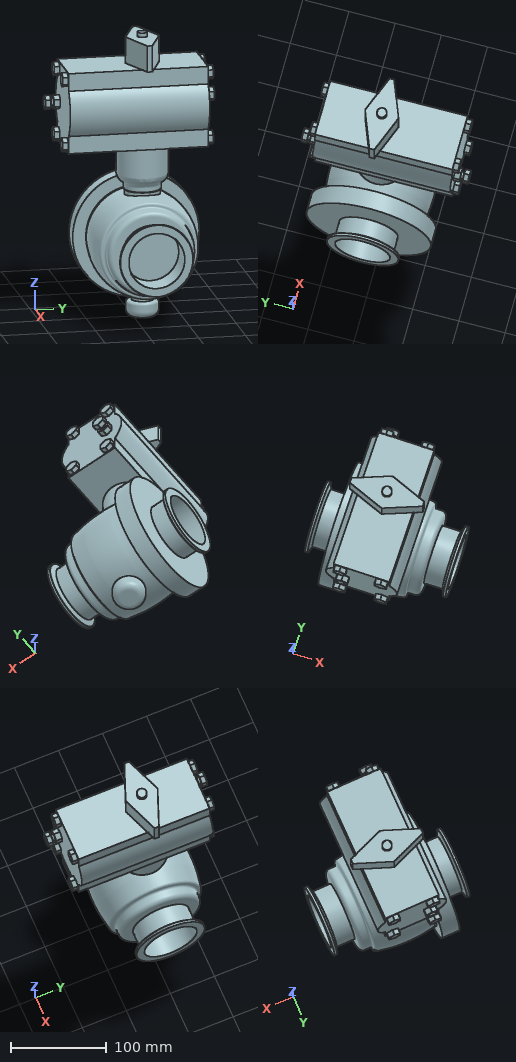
import cadquery as cq
import math


MATCH_TOLERANCE = 0.003

VALVE_LENGTH = 155.0
END_X = VALVE_LENGTH / 2
BORE_D = 59.5
BORE_DEPTH = 32.5
PIPE_D = 63.5
FERRULE_D = 77.5
FERRULE_RIM = 3.0
FERRULE_CONE = 2.8
FERRULE_CONE_D = 76.5
FLANGE_D = 135.0
FLANGE_X = -53.0
FLANGE_THICK = 20.0
COLLAR_D = 107.0
COLLAR_LENGTH = 2.5
BARREL_R = 56.5
BARREL_CROWN_R = 162.5
BARREL_END_X = 37.5
BARREL_FILLET = 2.8
HUB_D = 93.0
HUB_END_X = 51.3
HUB_FILLET = 5.5
HUB_ROOT_FILLET = 2.5

VALVE_NECK_D = 38.0
NECK_JOINT_Z = 58.3
DRAIN_STEM_D = 23.0
DRAIN_CAP_D = 35.0
DRAIN_CAP_TOP_Z = -61.5
DRAIN_CAP_BOTTOM_Z = -79.2
DRAIN_TOP_FILLET = 3.0
DRAIN_BOTTOM_FILLET = 7.7

MOUNT_D = 55.0
MOUNT_CONE_TOP_Z = 71.5
MOUNT_CONE_BOTTOM_Z = 65.7
MOUNT_FILLET = 9.0
MOUNT_ROOT_FILLET = 3.7
MOUNT_FOOT_D = 40.0
MOUNT_FOOT_CHAMFER = (MOUNT_FOOT_D - VALVE_NECK_D) / 2

HOUSING_WIDTH = 61.5
HOUSING_BOTTOM_Z = 108.0
HOUSING_TOP_Z = 195.0
HOUSING_MID_Z = (HOUSING_BOTTOM_Z + HOUSING_TOP_Z) / 2
HOUSING_LENGTH = 148.8
HOUSING_Y = -10.0
CYLINDER_D = 78.5

HEX_CORNERS = 15.0
BOLT_HEAD = 5.8
BOLT_PITCH_X = 45.0
BOLT_PITCH_Z = 70.5
STOP_X = -20.0
STOP_NUT = 6.8
STOP_SHANK_D = 8.0
STOP_GAP = 3.0
STOP_HEAD = 5.8

HANDLE_LENGTH = 80.5
HANDLE_WIDTH = 36.2
HANDLE_TIP = 5.2
HANDLE_HEIGHT = 28.2
PIN_D = 10.5
PIN_HEIGHT = 4.5


def fillet_circle(body, diameter, position, radius):
    """Fillet the circular edge with this diameter centred at this position."""
    centre = cq.Vector(*position)
    edges = [
        edge for edge in body.edges("%CIRCLE").vals()
        if abs(edge.radius() - diameter / 2) < MATCH_TOLERANCE
        and (edge.arcCenter() - centre).Length < MATCH_TOLERANCE
    ]
    return body.newObject([body.val().fillet(radius, edges)])


def disc(diameter, bottom_z, top_z):
    return cq.Workplane("XY").workplane(offset=bottom_z).circle(diameter / 2).extrude(top_z - bottom_z)


def barrel_radius(x):
    """Radius of the crowned barrel at x."""
    return BARREL_R - BARREL_CROWN_R + math.sqrt(BARREL_CROWN_R**2 - x**2)


def pipe_line():
    rim_x = END_X - FERRULE_RIM
    cone_x = rim_x - FERRULE_CONE
    flange_back_x = FLANGE_X + FLANGE_THICK
    collar_x = flange_back_x + COLLAR_LENGTH
    barrel_end_r = barrel_radius(BARREL_END_X)
    body = (
        cq.Workplane("XY")
        .moveTo(-END_X, 0)
        .lineTo(-END_X, FERRULE_D / 2)
        .lineTo(-rim_x, FERRULE_D / 2)
        .lineTo(-rim_x, FERRULE_CONE_D / 2)
        .lineTo(-cone_x, PIPE_D / 2)
        .lineTo(FLANGE_X, PIPE_D / 2)
        .lineTo(FLANGE_X, FLANGE_D / 2)
        .lineTo(flange_back_x, FLANGE_D / 2)
        .lineTo(flange_back_x, COLLAR_D / 2)
        .lineTo(collar_x, COLLAR_D / 2)
        .lineTo(collar_x, barrel_radius(collar_x))
        .threePointArc((0, BARREL_R), (BARREL_END_X, barrel_end_r))
        .lineTo(BARREL_END_X, HUB_D / 2)
        .lineTo(HUB_END_X, HUB_D / 2)
        .lineTo(HUB_END_X, PIPE_D / 2)
        .lineTo(cone_x, PIPE_D / 2)
        .lineTo(rim_x, FERRULE_CONE_D / 2)
        .lineTo(rim_x, FERRULE_D / 2)
        .lineTo(END_X, FERRULE_D / 2)
        .lineTo(END_X, 0)
        .close()
        .revolve(360, (0, 0, 0), (1, 0, 0))
    )
    body = fillet_circle(body, 2 * barrel_end_r, (BARREL_END_X, 0, 0), BARREL_FILLET)
    body = fillet_circle(body, HUB_D, (BARREL_END_X, 0, 0), HUB_ROOT_FILLET)
    return fillet_circle(body, HUB_D, (HUB_END_X, 0, 0), HUB_FILLET)


def bores():
    """Blind bores in both pipe ends."""
    left = cq.Workplane("YZ").workplane(offset=-END_X).circle(BORE_D / 2).extrude(BORE_DEPTH)
    return left.union(left.mirror("YZ"))


def drain_plug():
    cap = disc(DRAIN_CAP_D, DRAIN_CAP_BOTTOM_Z, DRAIN_CAP_TOP_Z)
    cap = cap.faces(">Z").edges().fillet(DRAIN_TOP_FILLET)
    cap = cap.faces("<Z").edges().fillet(DRAIN_BOTTOM_FILLET)
    return cap.union(disc(DRAIN_STEM_D, DRAIN_CAP_TOP_Z, 0))


def make_valve():
    neck = disc(VALVE_NECK_D, 0, NECK_JOINT_Z)
    return pipe_line().union(neck).union(drain_plug()).cut(bores())


def mount():
    """Round column that narrows to a foot on the valve neck."""
    body = (
        cq.Workplane("XZ")
        .moveTo(0, NECK_JOINT_Z)
        .lineTo(VALVE_NECK_D / 2, NECK_JOINT_Z)
        .lineTo(MOUNT_FOOT_D / 2, NECK_JOINT_Z + MOUNT_FOOT_CHAMFER)
        .lineTo(MOUNT_FOOT_D / 2, MOUNT_CONE_BOTTOM_Z)
        .lineTo(MOUNT_D / 2, MOUNT_CONE_TOP_Z)
        .lineTo(MOUNT_D / 2, HOUSING_BOTTOM_Z)
        .lineTo(0, HOUSING_BOTTOM_Z)
        .close()
        .revolve(360, (0, 0, 0), (0, 1, 0))
    )
    body = fillet_circle(body, MOUNT_D, (0, 0, MOUNT_CONE_TOP_Z), MOUNT_FILLET)
    return fillet_circle(body, MOUNT_FOOT_D, (0, 0, MOUNT_CONE_BOTTOM_Z), MOUNT_ROOT_FILLET)


def housing():
    """Square block merged with a wider cylinder, both along Y."""
    height = HOUSING_TOP_Z - HOUSING_BOTTOM_Z
    block = cq.Workplane("XY").box(HOUSING_WIDTH, HOUSING_LENGTH, height)
    cylinder = cq.Workplane("XZ").circle(CYLINDER_D / 2).extrude(HOUSING_LENGTH / 2, both=True)
    return block.union(cylinder).translate((0, HOUSING_Y, HOUSING_MID_Z))


def hexagon(length):
    """Hexagonal prism along +Y with corners pointing up and down."""
    prism = cq.Workplane("XZ").polygon(6, HEX_CORNERS).extrude(-length)
    return prism.rotate((0, 0, 0), (0, 1, 0), 90)


def stop_screw():
    """Nut, bare shank and head of the travel stop, along +Y."""
    head_y = STOP_NUT + STOP_GAP
    shank = cq.Workplane("XZ").circle(STOP_SHANK_D / 2).extrude(-head_y)
    return hexagon(STOP_NUT).union(shank).union(hexagon(STOP_HEAD).translate((0, head_y, 0)))


def end_hardware():
    """Four corner bolts and the travel stop, standing on the plane Y = 0."""
    hardware = stop_screw().translate((STOP_X, 0, 0))
    for side_x in (-1, 1):
        for side_z in (-1, 1):
            place = (side_x * BOLT_PITCH_X / 2, 0, side_z * BOLT_PITCH_Z / 2)
            hardware = hardware.add(hexagon(BOLT_HEAD).translate(place))
    return hardware.combine()


def indicator():
    """Rhombic pointer with blunt tips and a pin on top."""
    tip_x = HANDLE_LENGTH / 2
    tip_y = HANDLE_TIP / 2
    side_y = HANDLE_WIDTH / 2
    outline = [(-tip_x, -tip_y), (0, -side_y), (tip_x, -tip_y), (tip_x, tip_y), (0, side_y), (-tip_x, tip_y)]
    top_z = HOUSING_TOP_Z + HANDLE_HEIGHT
    base = cq.Workplane("XY").workplane(offset=HOUSING_TOP_Z)
    handle = base.polyline(outline).close().extrude(HANDLE_HEIGHT)
    return handle.union(disc(PIN_D, top_z, top_z + PIN_HEIGHT))


def make_actuator():
    hardware = end_hardware().translate((0, HOUSING_LENGTH / 2, HOUSING_MID_Z))
    body = housing()
    for end in (hardware, hardware.mirror("XZ")):
        body = body.union(end.translate((0, HOUSING_Y, 0)))
    return body.union(mount()).union(indicator())


valve = make_valve()
actuator = make_actuator()

result = cq.Compound.makeCompound([*valve.solids().vals(), *actuator.solids().vals()])